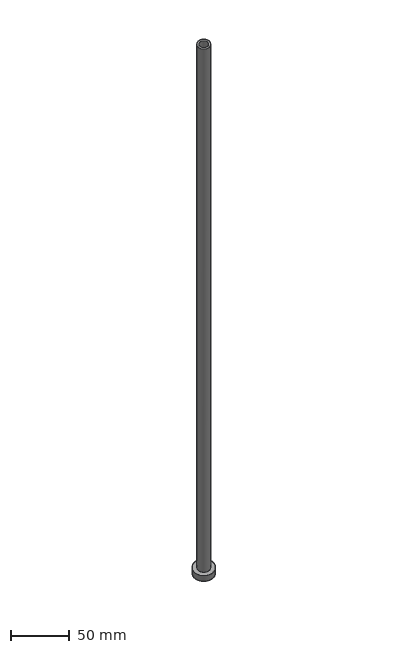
import cadquery as cq

total_length = 650.0
head_diameter = 20.0
head_height = 7.0
shaft_diameter = 12.0
bore_diameter = 8.0


def upright_cylinder(diameter, height):
    """Cylinder on the Z axis, standing on the Z = 0 plane."""
    return cq.Workplane("XY").circle(diameter / 2).extrude(height)


head = upright_cylinder(head_diameter, head_height)
shaft = upright_cylinder(shaft_diameter, total_length)

bore = upright_cylinder(bore_diameter, total_length)

result = head.union(shaft).cut(bore)